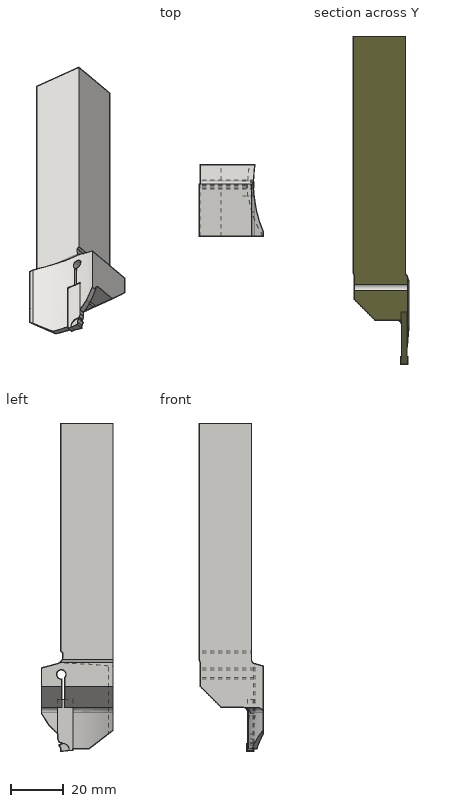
import cadquery as cq
import math

total_height = 125.0
shank_side = 20.0
head_width = 24.5
head_depth = 27.4

head_left = 0.4
taper_top = 35.0
taper_bottom = 33.9
corner_top = 24.9
head_bottom = 16.9
side_shoulder_z = 32.6
side_shoulder_radius = 1.5
shoulder_slope = math.tan(math.radians(15))

neck_y = 19.2
neck_top = 38.2
neck_start = 37.5
back_shoulder_z = 31.9
back_shoulder_radius = 2.6

cutting_edge_y = shank_side
blade_bottom = 1.0
blade_front_z = 8.1
blade_toe_y = 9.2
jaw_root_z = 14.5
jaw_bend_y = 24.4
jaw_bend_z = 9.9
jaw_tip_z = 6.8
concave_x = 20.8
concave_radius = 46.2
convex_x = 18.5
convex_radius = 36.9
root_radius = 2.0

slot_width = 1.0
slot_y = 19.0
relief_hole_radius = 1.8
relief_hole_y = 19.8
relief_hole_z = 29.4

insert_left = 18.4
insert_right = 20.6
insert_low_y = 15.4
insert_high_y = 21.1
insert_end_z = 19.9
insert_foot_z = 0.4

tip_overhang = 0.4
rake_start_z = 4.9
breaker_y = 20.6
breaker_z = 3.5
chip_lip_y = 20.8
chip_lip_z = 2.5
land_z = 1.2
tip_root = (19.1, 3.1)
tip_shoulder = (17.5, 2.4)
tip_heel_y = 16.8


def shank_and_head():
    """Shank and head: the solid common to its XZ and YZ outlines."""
    corner_x = head_left + corner_top - head_bottom
    side_shoulder_top = side_shoulder_z + (head_width - shank_side) * shoulder_slope
    across_x = (
        cq.Workplane("XZ")
        .polyline([
            (0, total_height),
            (0, taper_top),
            (head_left, taper_bottom),
            (head_left, corner_top),
            (corner_x, head_bottom),
            (corner_x, blade_bottom),
            (head_width, blade_bottom),
            (head_width, side_shoulder_z),
            (shank_side, side_shoulder_top),
            (shank_side, total_height),
        ])
        .close()
        .extrude(-head_depth)
    )
    across_x = round_inner_corner(across_x, (shank_side, 0, side_shoulder_top), "|Y", side_shoulder_radius)

    back_shoulder_top = back_shoulder_z + (head_depth - neck_y) * shoulder_slope
    across_y = (
        cq.Workplane("YZ")
        .polyline([
            (0, total_height),
            (0, blade_front_z),
            (blade_toe_y, blade_bottom),
            (insert_high_y, blade_bottom),
            (insert_high_y, jaw_tip_z),
            (jaw_bend_y, jaw_bend_z),
            (head_depth, jaw_root_z),
            (head_depth, back_shoulder_z),
            (neck_y, back_shoulder_top),
            (neck_y, neck_start),
            (shank_side, neck_top),
            (shank_side, total_height),
        ])
        .close()
        .extrude(head_width)
    )
    across_y = round_inner_corner(across_y, (0, neck_y, back_shoulder_top), "|X", back_shoulder_radius)
    return across_x.intersect(across_y)


def round_inner_corner(body, corner, direction, radius):
    """Fillet the edge along the given direction that passes nearest to the corner."""
    edge = body.edges(direction).edges(cq.selectors.NearestToPointSelector(corner))
    return edge.fillet(radius)


def concave_side():
    """Upright cylinder that hollows the right side of head and blade."""
    return (
        cq.Workplane("XY")
        .center(concave_x + concave_radius, cutting_edge_y)
        .circle(concave_radius)
        .extrude(total_height)
    )


def convex_side():
    """Ring below the head that leaves the blade inside it, with a rounded blade root."""
    ring_outer = convex_radius + head_width
    arc_offset = root_radius * math.sqrt(0.5)
    fillet_center_r = convex_radius + root_radius
    fillet_center_z = head_bottom - root_radius
    return (
        cq.Workplane("XZ", origin=(convex_x + convex_radius, cutting_edge_y, 0))
        .moveTo(convex_radius, 0)
        .lineTo(ring_outer, 0)
        .lineTo(ring_outer, head_bottom)
        .lineTo(fillet_center_r, head_bottom)
        .threePointArc(
            (fillet_center_r - arc_offset, fillet_center_z + arc_offset),
            (convex_radius, fillet_center_z),
        )
        .close()
        .revolve(360, (0, 0, 0), (0, 1, 0))
    )


def clamping_slot():
    """Slot along X from the insert seat up to its round relief hole."""
    hole = (
        cq.Workplane("YZ")
        .center(relief_hole_y, relief_hole_z)
        .circle(relief_hole_radius)
        .extrude(head_width)
    )
    slot = cq.Workplane("XY").box(
        head_width, slot_width, relief_hole_z - head_bottom, centered=(False, True, False)
    )
    return hole.union(slot.translate((0, slot_y, head_bottom)))


def insert_seat():
    """Seat open to the right, and open to both sides below the head."""
    seat_depth = insert_high_y - insert_low_y
    pocket = cq.Workplane("XY").box(
        head_width - insert_left, seat_depth, insert_end_z, centered=False
    )
    opening = cq.Workplane("XY").box(head_width, seat_depth, head_bottom, centered=False)
    return pocket.translate((insert_left, insert_low_y, 0)).union(
        opening.translate((0, insert_low_y, 0))
    )


def make_holder():
    holder = shank_and_head()
    for removed in (concave_side(), convex_side(), clamping_slot(), insert_seat()):
        holder = holder.cut(removed)
    return holder


def make_insert():
    """Flat bar with a chip breaker and a wider relieved cutting tip at its lower end."""
    tip_left = insert_left - tip_overhang
    tip_right = insert_right + tip_overhang
    body = (
        cq.Workplane("YZ", origin=(insert_left, 0, 0))
        .polyline([
            (insert_low_y, insert_foot_z),
            (insert_low_y, insert_end_z),
            (insert_high_y, insert_end_z),
            (insert_high_y, rake_start_z),
            (breaker_y, breaker_z),
            tip_root,
            (tip_heel_y, insert_foot_z),
        ])
        .close()
        .extrude(insert_right - insert_left)
    )
    tip = (
        cq.Workplane("YZ", origin=(tip_left, 0, 0))
        .moveTo(cutting_edge_y, 0)
        .lineTo(cutting_edge_y, land_z)
        .lineTo(chip_lip_y, chip_lip_z)
        .lineTo(*tip_root)
        .threePointArc(tip_shoulder, (tip_heel_y, insert_foot_z))
        .close()
        .extrude(tip_right - tip_left)
    )
    side_relief = (
        cq.Workplane("XY")
        .polyline([
            (insert_left, tip_heel_y),
            (insert_right, tip_heel_y),
            (tip_right, cutting_edge_y),
            (tip_right, insert_high_y),
            (tip_left, insert_high_y),
            (tip_left, cutting_edge_y),
        ])
        .close()
        .extrude(rake_start_z)
    )
    return body.union(tip.intersect(side_relief))


holder = make_holder()
insert = make_insert()

result = cq.Compound.makeCompound([holder.solids().val(), insert.solids().val()])